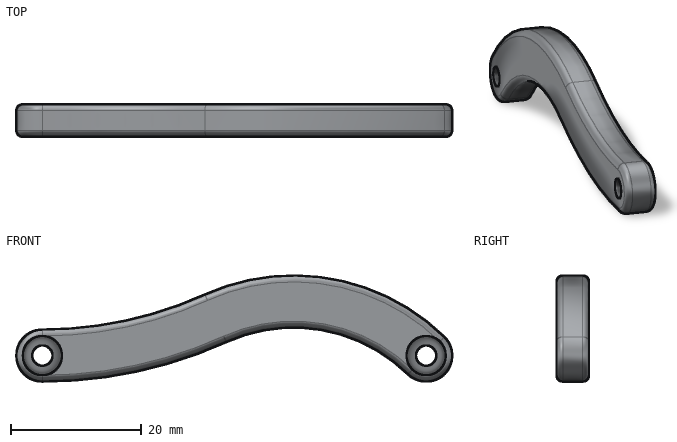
import cadquery as cq
import math

length = 67.0
height = 16.35
thickness = 5.0
edge_fillet = 1.0

end_radius = 4.0
pivot_spacing = length - 2 * end_radius

crest_x = 38.6
crest_z = height - 2 * end_radius

hole_diameter = 3.1
counterbore_diameter = 2 * (end_radius - edge_fillet)
counterbore_depth = 3.0

joint_angle = 2 * math.atan2(crest_z, crest_x)
end_angle = 2 * math.atan2(crest_z, pivot_spacing - crest_x)
crown_radius = crest_z / (1 - math.cos(end_angle))
dip_radius = crest_x / math.sin(joint_angle) - crown_radius


def dip_point(angle, offset):
    """Point on the dipping arc, moved upward from the centreline by offset."""
    radius = dip_radius - offset
    return radius * math.sin(angle), dip_radius - radius * math.cos(angle)


def crown_point(angle, offset):
    """Point on the crowned arc; angle is clockwise from the crest."""
    radius = crown_radius + offset
    centre_z = crest_z - crown_radius
    return crest_x + radius * math.sin(angle), centre_z + radius * math.cos(angle)


def make_bar():
    r = end_radius
    right_tip = (
        pivot_spacing + r * math.cos(end_angle),
        -r * math.sin(end_angle),
    )
    outline = (
        cq.Workplane("XZ")
        .moveTo(*dip_point(0, r))
        .threePointArc(dip_point(joint_angle / 2, r), dip_point(joint_angle, r))
        .threePointArc(crown_point(0, r), crown_point(end_angle, r))
        .threePointArc(right_tip, crown_point(end_angle, -r))
        .threePointArc(crown_point(0, -r), dip_point(joint_angle, -r))
        .threePointArc(dip_point(joint_angle / 2, -r), dip_point(0, -r))
        .threePointArc((-r, 0), dip_point(0, r))
        .close()
    )
    bar = outline.extrude(thickness / 2, both=True)
    return bar.faces("<Y or >Y").edges().fillet(edge_fillet)


def cut_pivot_holes(bar):
    """Through holes, counterbored from the -Y face."""
    return (
        bar.copyWorkplane(cq.Workplane("XZ", origin=(0, -thickness / 2, 0)))
        .pushPoints([(0, 0), (pivot_spacing, 0)])
        .cboreHole(hole_diameter, counterbore_diameter, counterbore_depth)
    )


result = cut_pivot_holes(make_bar())